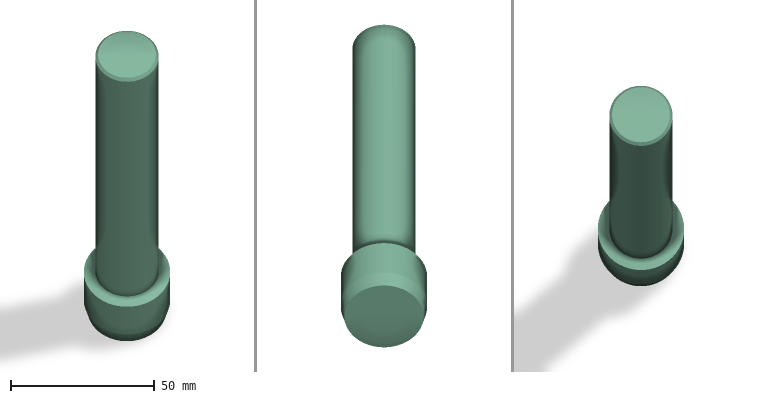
import cadquery as cq

total_length = 150.0
shaft_diameter = 22.0
shaft_radius = shaft_diameter / 2
tip_radius = 10.0
tip_chamfer_height = 1.0

root_radius = 12.5

collar_diameter = 30.2
collar_radius = collar_diameter / 2
collar_end_radius = 13.8
collar_edge_height = 22.0
lead_in_height = 5.7

shoulder_rise = 0.6
shoulder_top = collar_edge_height + shoulder_rise
shoulder_slope = shoulder_rise / (collar_radius - shaft_radius)
root_edge_height = collar_edge_height + shoulder_slope * (collar_radius - root_radius)


def make_pin():
    """Round pin with a wider root, a sloped shoulder and a chamfered tip."""
    return (
        cq.Workplane("XZ")
        .lineTo(root_radius, 0)
        .lineTo(root_radius, root_edge_height)
        .lineTo(shaft_radius, shoulder_top)
        .lineTo(shaft_radius, total_length - tip_chamfer_height)
        .lineTo(tip_radius, total_length)
        .lineTo(0, total_length)
        .close()
        .revolve(360, (0, 0), (0, 1))
    )


def make_collar():
    """Ring fitted around the root, with a conical lead-in at its lower end."""
    return (
        cq.Workplane("XZ")
        .moveTo(root_radius, 0)
        .lineTo(collar_end_radius, 0)
        .lineTo(collar_radius, lead_in_height)
        .lineTo(collar_radius, collar_edge_height)
        .lineTo(root_radius, root_edge_height)
        .close()
        .revolve(360, (0, 0), (0, 1))
    )


pin = make_pin()
collar = make_collar()
result = cq.Compound.makeCompound([pin.val(), collar.val()])